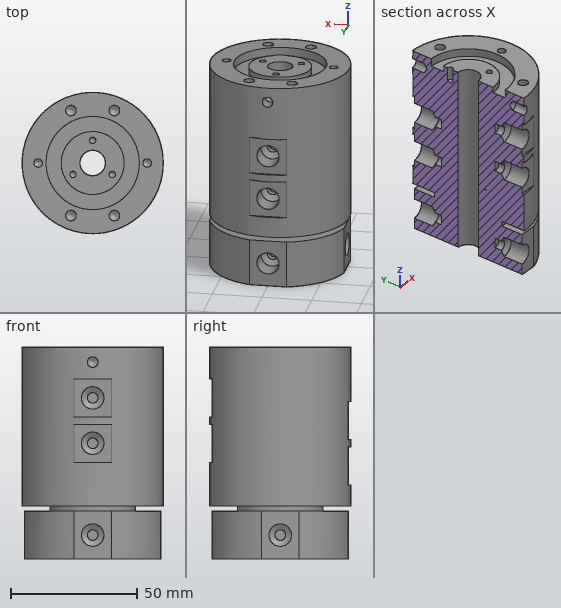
import cadquery as cq
import math

total_height = 84.0
outer_diameter = 56.0
base_height = 19.0
gap_height = 2.0
neck_diameter = 34.0
bore_diameter = 10.0
body_bottom = base_height + gap_height

flat_width = 14.9
flat_distance = math.sqrt((outer_diameter / 2) ** 2 - (flat_width / 2) ** 2)
pocket_height = 15.0
flat_depth = outer_diameter / 2 - flat_distance
front_pocket_top_z = 63.8
pocket_step = 9.0

port_diameter = 8.9
port_depth = 9.0
pilot_diameter = 4.2
pilot_depth = 13.4
drill_point_angle = 118.0

recess_diameter = 37.0
recess_depth = 3.5
boss_diameter = 24.95
boss_drop = 1.0

large_hole_diameter = 4.2
large_hole_depth = 10.1
large_hole_radius = 22.5
large_hole_angle = 67.5
side_hole_diameter = 3.4
side_hole_depth = 10.1
side_hole_radius = 21.6
boss_hole_diameter = 2.5
boss_hole_depth = 5.9
boss_hole_radius = 9.0
boss_hole_count = 3
cross_hole_diameter = 4.2
cross_hole_depth = 5.9
cross_hole_drop = 6.0

FRONT, RIGHT, BACK, LEFT = -90, 0, 90, 180


def cylinder(diameter, bottom, top):
    """Solid cylinder on the Z axis between two heights."""
    return cq.Workplane("XY").workplane(offset=bottom).circle(diameter / 2).extrude(top - bottom)


def drill(diameter, depth):
    """Drill cutter going down from the origin, with a conical point below its full depth."""
    radius = diameter / 2
    tip_length = radius / math.tan(math.radians(drill_point_angle / 2))
    profile = [(0, 0), (radius, 0), (radius, -depth), (0, -depth - tip_length)]
    return cq.Workplane("XZ").polyline(profile).close().revolve(360, (0, 0), (0, 1))


def place_on_side(cutter, distance, z, angle):
    """Aim a downward cutter at the Z axis from a distance, a height and a compass angle."""
    aimed = cutter.rotate((0, 0, 0), (0, 1, 0), 90)
    return aimed.translate((distance, 0, z)).rotate((0, 0, 0), (0, 0, 1), angle)


def place_on_top(cutter, radius, z, angle):
    """Move a downward cutter to a polar position at height z."""
    return cutter.translate((radius, 0, z)).rotate((0, 0, 0), (0, 0, 1), angle)


def port(z, angle):
    """Port cutter starting at a flat."""
    pilot = cylinder(pilot_diameter, -pilot_depth, 0)
    return place_on_side(drill(port_diameter, port_depth).union(pilot), flat_distance, z, angle)


def flat(height, z, angle):
    """Cutter that leaves a flat of the given height, centred on z."""
    block = cq.Workplane("XY").box(flat_depth, outer_diameter, height)
    center = flat_distance + flat_depth / 2
    return block.translate((center, 0, z)).rotate((0, 0, 0), (0, 0, 1), angle)


part = cylinder(outer_diameter, 0, base_height)
part = part.union(cylinder(neck_diameter, base_height, body_bottom))
part = part.union(cylinder(outer_diameter, body_bottom, total_height))

recess_floor = total_height - recess_depth
boss_top = total_height - boss_drop
part = part.cut(cylinder(recess_diameter, recess_floor, total_height))
part = part.union(cylinder(boss_diameter, recess_floor, boss_top))
part = part.cut(cylinder(bore_diameter, 0, total_height))

for angle in (FRONT, RIGHT, BACK, LEFT):
    part = part.cut(flat(base_height, base_height / 2, angle))
    part = part.cut(port(base_height / 2, angle))

for index, angle in enumerate((FRONT, BACK, FRONT, BACK)):
    pocket_z = front_pocket_top_z - index * pocket_step
    part = part.cut(flat(pocket_height, pocket_z, angle))
    part = part.cut(port(pocket_z, angle))

cross_hole = drill(cross_hole_diameter, cross_hole_depth)
for angle in (FRONT, BACK):
    part = part.cut(place_on_side(cross_hole, outer_diameter / 2, total_height - cross_hole_drop, angle))

large_hole = drill(large_hole_diameter, large_hole_depth)
for angle in (large_hole_angle, 180 - large_hole_angle, 180 + large_hole_angle, -large_hole_angle):
    part = part.cut(place_on_top(large_hole, large_hole_radius, total_height, angle))

side_hole = drill(side_hole_diameter, side_hole_depth)
for angle in (RIGHT, LEFT):
    part = part.cut(place_on_top(side_hole, side_hole_radius, total_height, angle))

boss_hole = drill(boss_hole_diameter, boss_hole_depth)
for index in range(boss_hole_count):
    angle = BACK + index * 360 / boss_hole_count
    part = part.cut(place_on_top(boss_hole, boss_hole_radius, boss_top, angle))

result = part